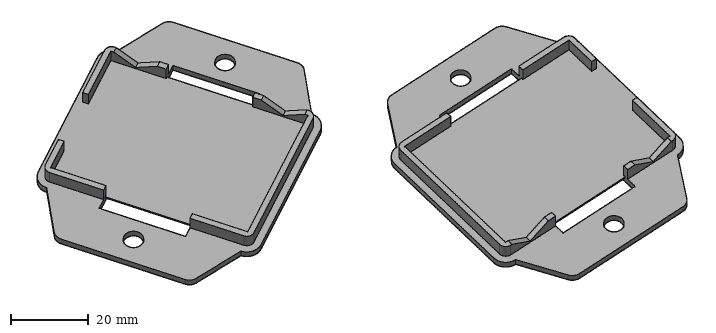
import cadquery as cq
import math

plate_length = 62.0
plate_width = 48.0
plate_thickness = 2.0
plate_corner_radius = 4.0

overall_width = 76.0
ear_root_half_length = plate_length / 2 - plate_corner_radius
ear_side_angle = math.radians(60)
ear_corner_radius = 3.0
screw_hole_diameter = 5.3
screw_hole_edge_distance = 7.0

wall_margin = 2.0
wall_height = 4.0
wall_thickness = 1.6
wall_length = plate_length - 2 * wall_margin
wall_width = plate_width - 2 * wall_margin
wall_corner_radius = plate_corner_radius - wall_margin
total_height = plate_thickness + wall_height

slot_length = 24.0
slot_inner_y = 21.0
slot_outer_y = 25.0

relief_height = 1.5
relief_angle = math.radians(40)
relief_depth = relief_height * math.tan(relief_angle)

opening_width = 16.4
opening_center_y = -3.0

notch_depth = 3.5
notch_slope = math.radians(30)
notch_half_length = notch_depth / math.tan(notch_slope)
notch_center_x = (slot_length / 2 + wall_length / 2) / 2


def make_plate():
    """Rounded plate joined with the two tapered ears."""
    plate = (
        cq.Workplane("XY")
        .rect(plate_length, plate_width)
        .extrude(plate_thickness)
        .edges("|Z")
        .fillet(plate_corner_radius)
    )
    ear_reach = (overall_width - plate_width) / 2
    ear_tip_half_length = ear_root_half_length - ear_reach / math.tan(ear_side_angle)
    ears = (
        cq.Workplane("XY")
        .polyline([
            (-ear_root_half_length, -plate_width / 2),
            (-ear_tip_half_length, -overall_width / 2),
            (ear_tip_half_length, -overall_width / 2),
            (ear_root_half_length, -plate_width / 2),
            (ear_root_half_length, plate_width / 2),
            (ear_tip_half_length, overall_width / 2),
            (-ear_tip_half_length, overall_width / 2),
            (-ear_root_half_length, plate_width / 2),
        ])
        .close()
        .extrude(plate_thickness)
    )
    tip_edges = ears.faces("<Y or >Y").edges("|Z")
    return plate.union(tip_edges.fillet(ear_corner_radius))


def make_wall():
    """Closed tray wall with rounded outer and sharp inner corners."""
    outer = (
        cq.Workplane("XY", origin=(0, 0, plate_thickness))
        .rect(wall_length, wall_width)
        .extrude(wall_height)
        .edges("|Z")
        .fillet(wall_corner_radius)
    )
    inner = (
        cq.Workplane("XY", origin=(0, 0, plate_thickness))
        .rect(wall_length - 2 * wall_thickness, wall_width - 2 * wall_thickness)
        .extrude(wall_height)
    )
    return outer.cut(inner)


def wall_gap_cutter(center, length, width):
    """Block that removes wall material down to the plate surface."""
    return (
        cq.Workplane("XY", origin=(0, 0, plate_thickness))
        .center(*center)
        .rect(length, width)
        .extrude(wall_height)
    )


def notch_cutter(center_x):
    """Triangular prism across the +Y wall, point down."""
    return (
        cq.Workplane("XZ", origin=(0, wall_width / 2, 0))
        .polyline([
            (center_x - notch_half_length, total_height),
            (center_x, total_height - notch_depth),
            (center_x + notch_half_length, total_height),
        ])
        .close()
        .extrude(wall_thickness)
    )


def slot_cutter(side):
    """Through slot on the given Y side (+1 or -1)."""
    return (
        cq.Workplane("XY")
        .center(0, side * (slot_inner_y + slot_outer_y) / 2)
        .rect(slot_length, slot_outer_y - slot_inner_y)
        .extrude(plate_thickness)
    )


def slot_relief_cutter(side):
    """Wedge that chamfers the lower inner edge of a slot for its whole length."""
    edge_y = side * slot_inner_y
    return (
        cq.Workplane("YZ")
        .polyline([
            (edge_y, 0),
            (edge_y, relief_height),
            (edge_y - side * relief_depth, 0),
        ])
        .close()
        .extrude(slot_length / 2, both=True)
    )


def screw_hole_cutter(side):
    """Through hole in the ear on the given Y side (+1 or -1)."""
    return (
        cq.Workplane("XY")
        .center(0, side * (overall_width / 2 - screw_hole_edge_distance))
        .circle(screw_hole_diameter / 2)
        .extrude(plate_thickness)
    )


wall = make_wall()
wall = wall.cut(wall_gap_cutter((0, 0), slot_length, wall_width))
wall = wall.cut(wall_gap_cutter(
    (-(wall_length - wall_thickness) / 2, opening_center_y), wall_thickness, opening_width
))
plate = make_plate()
for side in (-1, 1):
    wall = wall.cut(notch_cutter(side * notch_center_x))
    plate = plate.cut(slot_cutter(side))
    plate = plate.cut(slot_relief_cutter(side))
    plate = plate.cut(screw_hole_cutter(side))

result = plate.union(wall)